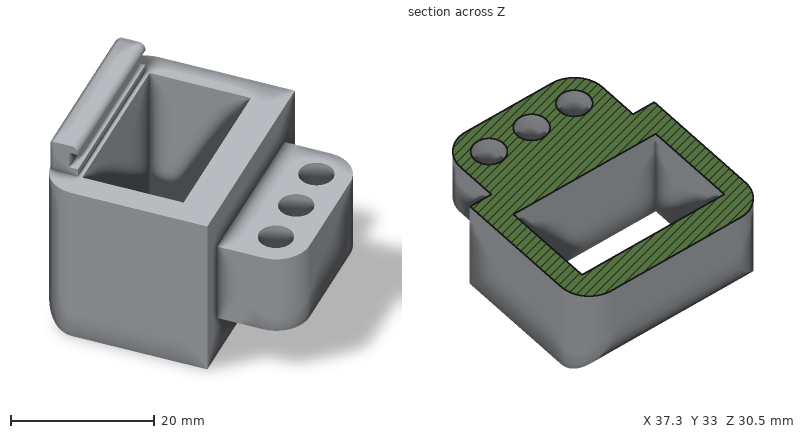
import cadquery as cq

body_length = 25.4
body_width = 33.02
body_height = 25.4
body_radius = 5.0

end_wall = 5.08
side_wall = 3.81
opening_length = body_length - 2 * end_wall
opening_width = body_width - 2 * side_wall

lip_thickness = 4.445
lip_height = 5.08
lip_width = opening_width
lip_radius = 1.0
groove_depth = 1.27
groove_height = 2.54
groove_bottom = body_height + (lip_height - groove_height) / 2

tab_length = 11.86
tab_width = opening_width
tab_height = 12.7
tab_radius = 5.0
tab_bottom = (body_height - tab_height) / 2
hole_diameter = 5.08
hole_pitch = 7.62
hole_count = 3
hole_edge_distance = 5.08
hole_x = body_length + tab_length - hole_edge_distance


def block(left, bottom, length, width, height):
    """Box centred on Y, placed by its left face and its bottom face."""
    return (
        cq.Workplane("XY", origin=(left, 0, bottom))
        .box(length, width, height, centered=(False, True, False))
    )


def make_body():
    """Block with its left corners and lower left edge rounded."""
    body = block(0, 0, body_length, body_width, body_height)
    return body.faces("<X").edges("|Z or <Z").fillet(body_radius)


def make_lip():
    """Upright strip with rounded outer and top edges and a groove in its inner face."""
    lip = block(0, body_height, lip_thickness, lip_width, lip_height)
    lip = lip.faces("<X").edges("|Z or >Z").fillet(lip_radius)
    lip = lip.edges(">X and >Z").fillet(lip_radius)
    groove = block(lip_thickness - groove_depth, groove_bottom, groove_depth, lip_width, groove_height)
    return lip.cut(groove)


def make_tab():
    """Plate with rounded outer corners and a row of through holes along Y."""
    tab = block(body_length, tab_bottom, tab_length, tab_width, tab_height)
    tab = tab.edges("|Z and >X").fillet(tab_radius)
    holes = (
        cq.Workplane("XY", origin=(hole_x, 0, tab_bottom))
        .rarray(1, hole_pitch, 1, hole_count)
        .circle(hole_diameter / 2)
        .extrude(tab_height)
    )
    return tab.cut(holes)


opening = block(end_wall, 0, opening_length, opening_width, body_height)
result = make_body().cut(opening).union(make_lip()).union(make_tab())